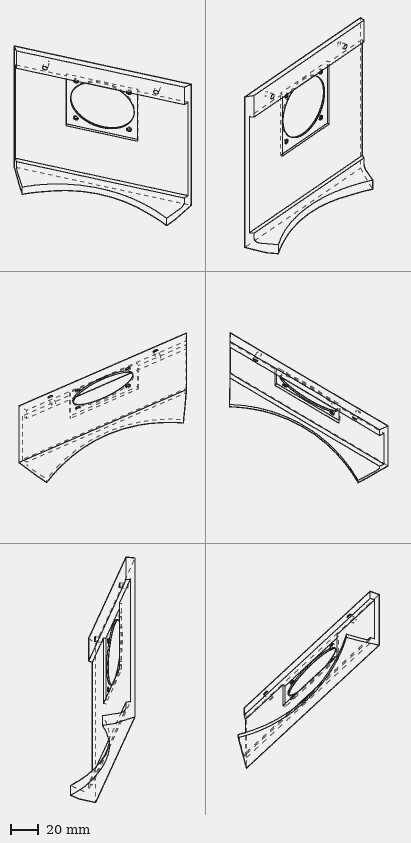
import cadquery as cq
import math


width = 133.93
mitre_angle = math.radians(30)
total_depth = 21.48
shelf_arc_depth = 7.0

height = 136.0
wall_thickness = 6.0
top_bevel_drop = 2.0
bottom_bevel_rise = 3.0
bottom_bevel_depth = 14.0
shelf_top = 8.0
shelf_fillet = 4.0

recess_depth = 3.0
recess_bottom = 16.2
recess_top = 117.2

fan_center_z = 91.5
fan_diameter = 48.0
fan_screw_spacing = 40.0
fan_pocket_size = 54.0
fan_pocket_depth = 1.8

screw_diameter = 3.5
mount_hole_spacing = 84.0
mount_hole_top_margin = 12.0

half_width = width / 2
mount_hole_z = height - mount_hole_top_margin
tip_half_width = half_width - total_depth * math.tan(mitre_angle)


def side_profile_body():
    """Wall and shelf as one side profile, extruded along X."""
    profile = (
        cq.Workplane("YZ")
        .moveTo(0, bottom_bevel_rise)
        .lineTo(0, height - top_bevel_drop)
        .lineTo(-wall_thickness, height)
        .lineTo(-wall_thickness, recess_top)
        .lineTo(-wall_thickness + recess_depth, recess_top)
        .lineTo(-wall_thickness + recess_depth, recess_bottom)
        .lineTo(-wall_thickness, recess_bottom)
        .lineTo(-wall_thickness, shelf_top)
        .lineTo(-total_depth, shelf_top)
        .lineTo(-total_depth, 0)
        .lineTo(-bottom_bevel_depth, 0)
        .close()
    )
    return profile.extrude(half_width, both=True)


def plan_outline_body():
    """Plan outline at full height: mitred sides and a concave round shelf edge."""
    return (
        cq.Workplane("XY")
        .moveTo(-half_width, 0)
        .lineTo(half_width, 0)
        .lineTo(tip_half_width, -total_depth)
        .threePointArc((0, -shelf_arc_depth), (-tip_half_width, -total_depth))
        .close()
        .extrude(height)
    )


def fillet_shelf_corner(solid):
    """Round the inside corner; mid-span the shelf is narrower than the radius and the fillet tapers."""
    corner = cq.selectors.NearestToPointSelector((0, -wall_thickness, shelf_top))
    return solid.edges("|X").edges(corner).fillet(shelf_fillet)


def through_holes(points, diameter):
    """Round cutters along Y through the wall at the given (x, z) points."""
    return (
        cq.Workplane("XZ")
        .pushPoints(points)
        .circle(diameter / 2)
        .extrude(wall_thickness)
    )


def fan_pocket():
    """Square pocket in the recess floor, its upper edge on the recess top."""
    floor_thickness = wall_thickness - recess_depth - fan_pocket_depth
    return (
        cq.Workplane("XZ")
        .workplane(offset=floor_thickness)
        .center(0, recess_top - fan_pocket_size / 2)
        .rect(fan_pocket_size, fan_pocket_size)
        .extrude(fan_pocket_depth)
    )


fan_screw_points = [
    (x_side * fan_screw_spacing / 2, fan_center_z + z_side * fan_screw_spacing / 2)
    for x_side in (-1, 1)
    for z_side in (-1, 1)
]
mount_points = [(side * mount_hole_spacing / 2, mount_hole_z) for side in (-1, 1)]

body = side_profile_body().intersect(plan_outline_body())
body = fillet_shelf_corner(body)
body = body.cut(fan_pocket())
body = body.cut(through_holes([(0, fan_center_z)], fan_diameter))
result = body.cut(through_holes(fan_screw_points + mount_points, screw_diameter))